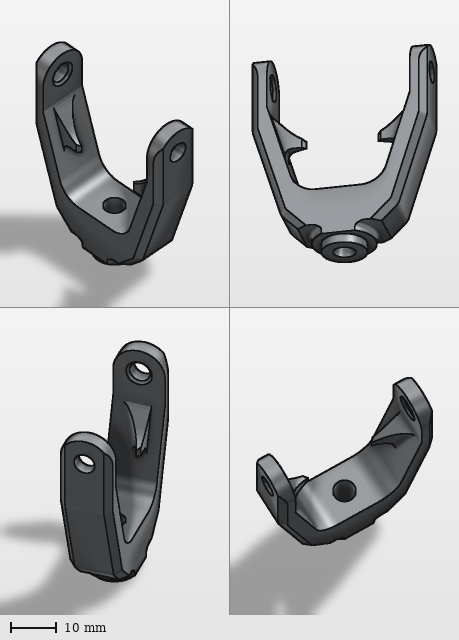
import cadquery as cq
import math

tolerance = 0.05

width = 39.0
depth = 12.0
height = 47.5
half_width = width / 2
half_depth = depth / 2

leg_thickness = 3.55
leg_slope = math.tan(math.radians(17))
outer_bend_z = 29.0
inner_bend_z = 34.25
outer_knee_z = 8.2
floor_z = 13.0
bottom_z = 4.45
floor_radius = 5.9
outer_bend_radius = 3.0
edge_chamfer = 1.5

pivot_diameter = 4.75
pivot_z = height - half_depth
countersink = 0.6

boss_diameter = 10.0
boss_height = 2.05
collar_radius = 7.1
collar_straight_top = 2.95
center_hole_diameter = 5.0

hook_top_x = 15.45
hook_curve_x = 12.0
hook_tip_x = 7.9
hook_curve_z = 29.55
hook_tip_top_z = 26.6
hook_bottom_z = 25.0
hook_front_y = -2.95
hook_tip_bevel = 0.95
hook_back_radius = 13.35
hook_back_center = (4.85, 10.9)
hook_fillet = 1.5
hook_root_overlap = 0.95


def inner_leg_x(z):
    """X of the sloping inner leg face at height z."""
    return half_width - leg_thickness - (inner_bend_z - z) * leg_slope


def mirrored_outline(points):
    """Closed XZ outline, symmetric in X, from the points of its right half."""
    left = [(-x, z) for x, z in reversed(points)]
    return cq.Workplane("XZ").polyline(points + left).close()


def make_fork():
    knee_x = half_width - (outer_bend_z - outer_knee_z) * leg_slope
    bottom_x = knee_x - (outer_knee_z - bottom_z)
    outer = mirrored_outline([
        (bottom_x, bottom_z),
        (knee_x, outer_knee_z),
        (half_width, outer_bend_z),
        (half_width, height),
    ]).extrude(half_depth, both=True)
    for x, z in ((knee_x, outer_knee_z), (half_width, outer_bend_z)):
        for side in (-1, 1):
            corner = cq.selectors.NearestToPointSelector((side * x, 0, z))
            outer = outer.edges("|Y").edges(corner).fillet(outer_bend_radius)

    flat_ends = outer.edges(">Z or <Z")
    outline = outer.edges("<Y or >Y")
    side_edges = [edge for edge in outline.vals() if edge not in flat_ends.vals()]
    outer = outer.newObject(side_edges).chamfer(edge_chamfer)

    opening = mirrored_outline([
        (inner_leg_x(floor_z), floor_z),
        (inner_leg_x(inner_bend_z), inner_bend_z),
        (inner_leg_x(inner_bend_z), height),
    ]).extrude(depth, both=True)
    opening = opening.edges("|Y and <Z").fillet(floor_radius)

    rounded_side = (
        cq.Workplane("YZ")
        .moveTo(-half_depth, 0)
        .lineTo(half_depth, 0)
        .lineTo(half_depth, pivot_z)
        .threePointArc((0, height), (-half_depth, pivot_z))
        .close()
        .extrude(half_width, both=True)
    )
    return outer.cut(opening).intersect(rounded_side)


def make_base():
    flare = bottom_z - collar_straight_top
    bend = flare * (1 - math.sqrt(0.5))
    collar = (
        cq.Workplane("XZ")
        .moveTo(0, boss_height)
        .lineTo(collar_radius, boss_height)
        .lineTo(collar_radius, collar_straight_top)
        .threePointArc((collar_radius + bend, bottom_z - bend), (collar_radius + flare, bottom_z))
        .lineTo(0, bottom_z)
        .close()
        .revolve(360, (0, 0, 0), (0, 1, 0))
        .intersect(cq.Workplane("XY").box(width, depth, height))
    )
    boss = cq.Workplane("XY").circle(boss_diameter / 2).extrude(boss_height)
    return collar.union(boss)


def add_hook(body):
    """Add the right-hand hook, hollowed behind by a vertical cylinder."""
    root_x = hook_top_x + hook_root_overlap
    hook = (
        cq.Workplane("XZ", origin=(0, hook_front_y, 0))
        .moveTo(hook_tip_x, hook_bottom_z)
        .lineTo(inner_leg_x(hook_bottom_z) + hook_root_overlap, hook_bottom_z)
        .lineTo(root_x, hook_curve_z + root_x - hook_curve_x)
        .lineTo(hook_curve_x, hook_curve_z)
        .tangentArcPoint((hook_tip_x, hook_tip_top_z), relative=False)
        .close()
        .extrude(-depth)
    )
    hollow = cq.Workplane("XY").center(*hook_back_center).circle(hook_back_radius).extrude(height)
    bevel = (
        cq.Workplane("XY")
        .moveTo(hook_tip_x, hook_front_y)
        .lineTo(hook_tip_x + hook_tip_bevel, hook_front_y)
        .lineTo(hook_tip_x, hook_front_y + hook_tip_bevel)
        .close()
        .extrude(height)
    )
    joined = body.union(hook.cut(hollow).cut(bevel))

    root_edges = []
    for edge in joined.edges().vals():
        center = edge.Center()
        on_leg = abs(center.x - inner_leg_x(center.z)) < tolerance
        beside_hook = hook_bottom_z - tolerance < center.z < inner_bend_z - tolerance
        behind_front = hook_front_y + tolerance < center.y < half_depth - tolerance
        if on_leg and beside_hook and behind_front:
            root_edges.append(edge)
    return joined.newObject(root_edges).fillet(hook_fillet)


def make_pivot_cutter():
    """Pivot holes through both legs, countersunk on the inner leg faces."""
    radius = pivot_diameter / 2
    inner_face_x = half_width - leg_thickness
    right_half = (
        cq.Workplane("XZ", origin=(0, 0, pivot_z))
        .moveTo(0, 0)
        .lineTo(0, radius + countersink)
        .lineTo(inner_face_x, radius + countersink)
        .lineTo(inner_face_x + countersink, radius)
        .lineTo(half_width, radius)
        .lineTo(half_width, 0)
        .close()
        .revolve(360, (0, 0, 0), (1, 0, 0))
    )
    return right_half.union(right_half.mirror("YZ"))


fork = add_hook(make_fork())
right_side = cq.Workplane("XY").box(width, depth, height, centered=(False, True, False))
right_half = fork.intersect(right_side)
center_hole = cq.Workplane("XY").circle(center_hole_diameter / 2).extrude(height)

result = (
    right_half.union(right_half.mirror("YZ"))
    .union(make_base())
    .cut(center_hole)
    .cut(make_pivot_cutter())
)